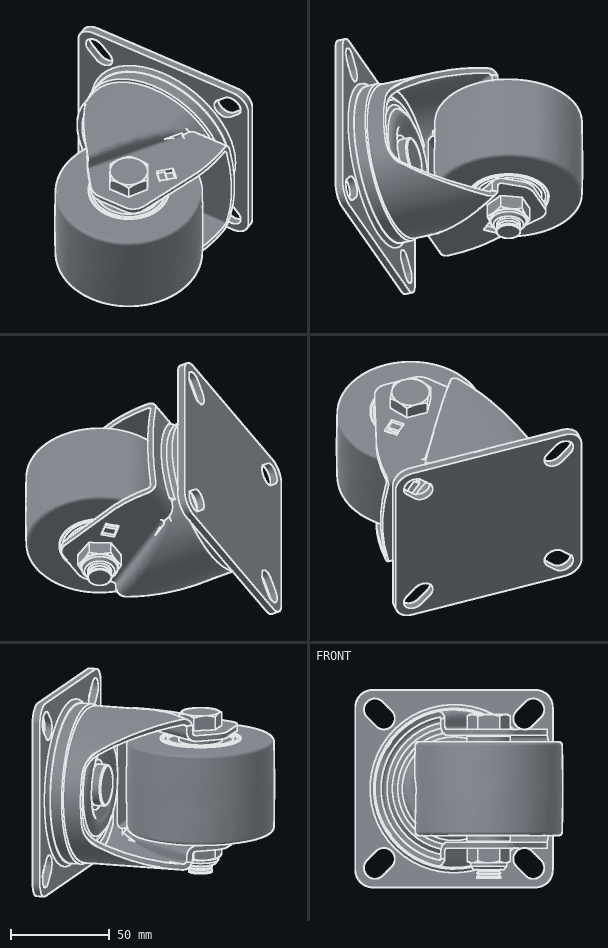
import cadquery as cq
import math


PLATE_SIZE = 100.0
PLATE_THICKNESS = 4.0
PLATE_CORNER_RADIUS = 9.0
SLOT_WIDTH = 11.0
SLOT_CENTER = 37.75
SLOT_SPREAD = 2.25
FLARE_RADIUS = 42.5
FLARE_STEP_RADIUS = 41.5
FLARE_STEP_DEPTH = 4.9
FLARE_NECK_RADIUS = 40.3
RING_RADIUS = 40.65
RING_TOP_DEPTH = 6.4
RING_DEPTH = 12.55
KINGPIN_RADIUS = 6.0
KINGPIN_HEAD_RADIUS = 10.5
KINGPIN_HEAD_DEPTH = 23.4
KINGPIN_CHAMFER = 0.6

WHEEL_OFFSET = 17.5
AXLE_DEPTH = 67.5
WHEEL_RADIUS = 37.5
WHEEL_WIDTH = 47.5
TREAD_CROWN = 0.35
TREAD_FILLET = 2.0
GROOVE_OUTER_RADIUS = 20.5
GROOVE_FLOOR_RADIUS = 20.0
GROOVE_INNER_RADIUS = 18.8
GROOVE_DEPTH = 0.3
RECESS_RADIUS = 16.9
RECESS_DEPTH = 1.0
HUB_RADIUS = 11.0
HUB_CHAMFER = 0.4

SHEET = 3.0
CUP_RADIUS = 39.9
CUP_INNER_RADIUS = CUP_RADIUS - SHEET
CUP_EDGE_RADIUS = 2.4
CUP_FLOOR_DEPTH = RING_DEPTH + SHEET
CUP_FLOOR_FILLET = 2.6
CUP_LIP_DEPTH = 22.3
LIP_END = (-38.5, -CUP_LIP_DEPTH)
LIP_ARC = (LIP_END, (-34.3, -24.3), (-31.4, -28.6))
FRONT_ARC = (LIP_ARC[2], (-18.4, -51.6), (-3.4, -72.3))
EDGE_TRIM_REACH = -3.0
EDGE_TRIM_STEPS = 48
TUBE_MARGIN = 1.0
BEND_FOOT = (-3.6, -72.4)
BEND_TOP = (19.4, -37.4)
BEND_DIRECTION = (cq.Vector(*BEND_TOP) - cq.Vector(*BEND_FOOT)).normalized()
BEND_NORMAL = cq.Vector(BEND_DIRECTION.y, -BEND_DIRECTION.x, 0)
BEND_FILLET_START = -10.0
BEND_FILLET_END = 54.0
BEND_FOOT_RADIUS = 2.0
BEND_RIM_RADIUS = 4.5
LEG_INNER = 27.0
LEG_OUTER = LEG_INNER + SHEET
LEG_BOTTOM_DEPTH = 84.15
LEG_HEEL_X = 5.8
LEG_TOE_X = 31.0
LEG_BACK_BOTTOM = (44.3, -44.0)
LEG_BACK_MIDDLE = (46.3, -34.0)
LEG_HEEL_RADIUS = 9.0
LEG_TOE_RADIUS = 8.0
WEB_DEPTH = 18.2
WEB_BEND_RADIUS = 5.0
WEB_REACH = 50.4
WEB_FLARE = 2.0
LEG_REACH = 47.0
LEG_START = -8.0

BULGE_FOOT_RADIUS = 33.9
BULGE_LEDGE_RADIUS = 31.2
BULGE_WALL_RADIUS = 28.5
BULGE_OUTER_RADIUS = 26.2
BULGE_CREST_RADIUS = 21.8
BULGE_INNER_RADIUS = 17.6
BULGE_LEDGE_DEPTH = 18.2
BULGE_SHOULDER_DEPTH = 19.3
BULGE_CREST_DEPTH = 21.9
BULGE_INNER_DEPTH = 20.3
HEAD_SEAT_RADIUS = 12.8
HEAD_SEAT_DEPTH = 18.0

TAB_CENTER = (31.35, -53.65)
TAB_LENGTH = 8.6
TAB_WIDTH = 6.7
TAB_ANGLE = 45.0
TAB_THICKNESS = SHEET / 2

BOLT_RADIUS = 6.0
HEX_FLATS = 19.0
HEX_CORNERS = HEX_FLATS / math.cos(math.radians(30))
HEX_HEIGHT = 7.5
HEX_CHAMFER_ANGLE = 30.0
BOLT_END = 45.2
THREAD_PITCH = 1.75
THREAD_DEPTH = 1.0
COLLAR_RADIUS = 9.1
COLLAR_END_RADIUS = 7.6
COLLAR_EDGE_OFFSET = 1.6
COLLAR_HEIGHT = 3.4
NUT_END = LEG_OUTER + HEX_HEIGHT + COLLAR_HEIGHT

FAR = 200.0


def revolve_about_swivel(points):
    """Revolve a (radius, depth) outline about the Y axis; depth counts toward -Y."""
    outline = [(radius, -depth) for radius, depth in points]
    return cq.Workplane("XY").polyline(outline).close().revolve(360, (0, 0, 0), (0, 1, 0))


def swivel_cylinder(radius, top_depth, bottom_depth):
    """A cylinder about the Y axis between two depths below the plate back."""
    disc = cq.Workplane("XZ", origin=(0, -top_depth, 0)).circle(radius)
    return disc.extrude(bottom_depth - top_depth)


def axle_cylinder(radius, z_start, z_end):
    base = cq.Workplane("XY", origin=(WHEEL_OFFSET, -AXLE_DEPTH, z_start))
    return base.circle(radius).extrude(z_end - z_start)


def axle_revolve(points):
    """Revolve a (radius, Z) outline about the axle."""
    profile = cq.Workplane("XZ").polyline(points).close()
    return profile.revolve(360, (0, 0, 0), (0, 1, 0)).translate((WHEEL_OFFSET, -AXLE_DEPTH, 0))


def both_sides(body):
    """A body and its mirror copy across the middle plane of the wheel."""
    return (body, body.mirror("XY"))


def make_plate():
    plate = cq.Workplane("XZ").rect(PLATE_SIZE, PLATE_SIZE).extrude(PLATE_THICKNESS)
    plate = plate.edges("|Y").fillet(PLATE_CORNER_RADIUS)
    slot_length = 2 * math.sqrt(2) * SLOT_SPREAD + SLOT_WIDTH
    for x_side in (-1, 1):
        for z_side in (-1, 1):
            slot = (
                cq.Workplane("XZ")
                .center(x_side * SLOT_CENTER, z_side * SLOT_CENTER)
                .transformed(rotate=(0, 0, 45 * x_side * z_side))
                .slot2D(slot_length, SLOT_WIDTH)
                .extrude(PLATE_THICKNESS)
            )
            plate = plate.cut(slot)
    ring = revolve_about_swivel([
        (0, 0),
        (FLARE_RADIUS, 0),
        (FLARE_RADIUS, PLATE_THICKNESS),
        (FLARE_STEP_RADIUS, FLARE_STEP_DEPTH),
        (FLARE_NECK_RADIUS, RING_TOP_DEPTH),
        (RING_RADIUS, RING_TOP_DEPTH),
        (RING_RADIUS, RING_DEPTH),
        (0, RING_DEPTH),
    ])
    shank = swivel_cylinder(KINGPIN_RADIUS, RING_DEPTH, HEAD_SEAT_DEPTH)
    head = swivel_cylinder(KINGPIN_HEAD_RADIUS, HEAD_SEAT_DEPTH, KINGPIN_HEAD_DEPTH)
    head = head.faces("<Y").chamfer(KINGPIN_CHAMFER)
    return plate.union(ring).union(shank).union(head)


def leg_profile():
    """Side outline of the fork below the cup: slanted front edge, round foot, curved back."""
    bottom = -LEG_BOTTOM_DEPTH
    outline = (
        cq.Workplane("XY", origin=(0, 0, -FAR / 2))
        .moveTo(-FAR, 0)
        .lineTo(-FAR, -CUP_LIP_DEPTH)
        .lineTo(*LIP_END)
        .threePointArc(*LIP_ARC[1:])
        .threePointArc(*FRONT_ARC[1:])
        .lineTo(LEG_HEEL_X, bottom)
        .lineTo(LEG_TOE_X, bottom)
        .lineTo(*LEG_BACK_BOTTOM)
        .threePointArc(LEG_BACK_MIDDLE, (LEG_REACH, -CUP_LIP_DEPTH))
        .lineTo(FAR, -CUP_LIP_DEPTH)
        .lineTo(FAR, 0)
        .close()
        .extrude(FAR)
    )
    heel = outline.edges(cq.selectors.NearestToPointSelector((LEG_HEEL_X, bottom, 0)))
    outline = heel.fillet(LEG_HEEL_RADIUS)
    toe = outline.edges(cq.selectors.NearestToPointSelector((LEG_TOE_X, bottom, 0)))
    return toe.fillet(LEG_TOE_RADIUS)


def front_edge_depth(x):
    """Depth of the fork's front edge where the cup wall stands at a given X."""
    if x < LIP_END[0]:
        return CUP_LIP_DEPTH
    start, middle, end = LIP_ARC if x < LIP_ARC[2][0] else FRONT_ARC
    first = (x - middle[0]) * (x - end[0]) / ((start[0] - middle[0]) * (start[0] - end[0]))
    second = (x - start[0]) * (x - end[0]) / ((middle[0] - start[0]) * (middle[0] - end[0]))
    third = (x - start[0]) * (x - middle[0]) / ((end[0] - start[0]) * (end[0] - middle[0]))
    return -(first * start[1] + second * middle[1] + third * end[1])


def cup_side(radius, top_depth, inset):
    """Cup cylinder ended by an upright bend wall, with the bend rounded at its rim."""
    body = swivel_cylinder(radius, top_depth, LEG_BOTTOM_DEPTH)
    foot = cq.Vector(*BEND_FOOT) - BEND_NORMAL * (BEND_FOOT_RADIUS + inset)
    wall = cq.Plane(origin=foot, normal=BEND_NORMAL)
    body = body.cut(cq.Workplane(wall).rect(2 * FAR, 2 * FAR).extrude(FAR))
    rim = body.faces(cq.selectors.DirectionMinMaxSelector(BEND_NORMAL)).edges("not |Z")
    return rim.fillet(BEND_RIM_RADIUS - inset)


def bend_fillet(radius, inset):
    """Concave corner filler where the upright bend wall meets the flat of a leg."""
    foot = cq.Vector(*BEND_FOOT) - BEND_NORMAL * (BEND_FOOT_RADIUS + inset)
    start = foot + BEND_DIRECTION * BEND_FILLET_START + cq.Vector(0, 0, LEG_OUTER - inset)
    section = cq.Plane(origin=start, xDir=BEND_NORMAL, normal=BEND_DIRECTION * -1)
    sag = radius * (1 - math.sqrt(0.5))
    return (
        cq.Workplane(section)
        .lineTo(radius, 0)
        .threePointArc((sag, sag), (0, radius))
        .close()
        .extrude(BEND_FILLET_START - BEND_FILLET_END)
    )


def cup_edge_waste():
    """The part of the cup tube beyond its front edge, cut square to the curved sheet."""
    start_angle = math.acos(EDGE_TRIM_REACH / CUP_RADIUS)
    sweep = 2 * (math.pi - start_angle)
    rails = []
    for radius in (CUP_INNER_RADIUS - 2 * TUBE_MARGIN, CUP_RADIUS + 2 * TUBE_MARGIN):
        points = []
        for step in range(EDGE_TRIM_STEPS + 1):
            angle = start_angle + sweep * step / EDGE_TRIM_STEPS
            depth = front_edge_depth(CUP_RADIUS * math.cos(angle))
            points.append(cq.Vector(radius * math.cos(angle), -depth, radius * math.sin(angle)))
        rails.append(cq.Edge.makeSpline(points))
    edge_face = cq.Face.makeRuledSurface(*rails)
    bore = swivel_cylinder(CUP_INNER_RADIUS - TUBE_MARGIN, CUP_FLOOR_DEPTH, FAR)
    tube = swivel_cylinder(CUP_RADIUS + TUBE_MARGIN, CUP_FLOOR_DEPTH, LEG_BOTTOM_DEPTH).cut(bore)
    front = cq.Workplane("XY").box(FAR, FAR, FAR).translate((BEND_FOOT[0] - FAR / 2, -FAR / 2, 0))
    tube = tube.intersect(front)
    pieces = tube.split(cq.Workplane(edge_face)).solids()
    return pieces.sort(lambda piece: piece.Center().y).first()


def channel(half_width, top_depth, bend_radius):
    """Block spanning the legs, rounded where the web turns into them."""
    length = FAR
    height = LEG_BOTTOM_DEPTH - top_depth
    block = cq.Workplane("XY").box(length, height, 2 * half_width, centered=(False, False, True))
    block = block.translate((LEG_START, -LEG_BOTTOM_DEPTH, 0))
    return block.edges("|X and >Y").fillet(bend_radius)


def web_end():
    """Plan outline that gives the web its bowed rear edge."""
    return (
        cq.Workplane("XZ")
        .moveTo(-FAR, LEG_OUTER)
        .lineTo(LEG_REACH, LEG_OUTER)
        .lineTo(LEG_REACH, LEG_INNER)
        .threePointArc((WEB_REACH, 0), (LEG_REACH, -LEG_INNER))
        .lineTo(LEG_REACH, -LEG_OUTER)
        .lineTo(-FAR, -LEG_OUTER)
        .close()
        .extrude(FAR)
    )


def make_bulge():
    """Pressed ring inside the cup whose middle seats the kingpin head."""
    crest = (BULGE_CREST_RADIUS, -BULGE_CREST_DEPTH)
    return (
        cq.Workplane("XY")
        .moveTo(0, -RING_DEPTH)
        .lineTo(BULGE_FOOT_RADIUS, -RING_DEPTH)
        .lineTo(BULGE_FOOT_RADIUS, -CUP_FLOOR_DEPTH)
        .lineTo(BULGE_LEDGE_RADIUS, -BULGE_LEDGE_DEPTH)
        .lineTo(BULGE_WALL_RADIUS, -BULGE_LEDGE_DEPTH)
        .lineTo(BULGE_OUTER_RADIUS, -BULGE_SHOULDER_DEPTH)
        .threePointArc(crest, (BULGE_INNER_RADIUS, -BULGE_INNER_DEPTH))
        .lineTo(HEAD_SEAT_RADIUS, -HEAD_SEAT_DEPTH)
        .lineTo(0, -HEAD_SEAT_DEPTH)
        .close()
        .revolve(360, (0, 0, 0), (0, 1, 0))
    )


def tab_block(length, z_start, z_end):
    """A block turned to the tab direction, starting at the end of the window nearest the axle."""
    return (
        cq.Workplane("XY", origin=(*TAB_CENTER, z_start))
        .transformed(rotate=(0, 0, TAB_ANGLE))
        .center((length - TAB_LENGTH) / 2, 0)
        .rect(length, TAB_WIDTH)
        .extrude(z_end - z_start)
    )


def make_fork():
    cup_top = swivel_cylinder(CUP_RADIUS, RING_DEPTH, CUP_LIP_DEPTH)
    cup_top = cup_top.faces(">Y").edges().fillet(CUP_EDGE_RADIUS)
    outer_side = cup_side(CUP_RADIUS, CUP_FLOOR_DEPTH, 0)
    outer_channel = channel(LEG_OUTER, WEB_DEPTH, WEB_BEND_RADIUS).intersect(web_end())
    flare = revolve_about_swivel([
        (0, WEB_DEPTH - WEB_FLARE),
        (CUP_RADIUS, WEB_DEPTH - WEB_FLARE),
        (CUP_RADIUS + WEB_FLARE, WEB_DEPTH),
        (0, WEB_DEPTH),
    ])
    flare = flare.intersect(cq.Workplane("XY").box(FAR, FAR, 2 * (LEG_OUTER - WEB_BEND_RADIUS)))
    flare = flare.intersect(cq.Workplane("XY").box(FAR, FAR, FAR, centered=(False, True, True)))
    outside = outer_side.union(outer_channel)
    foot_fillet = bend_fillet(BEND_FOOT_RADIUS, 0).intersect(swivel_cylinder(CUP_RADIUS, 0, LEG_BOTTOM_DEPTH))
    for fillet in both_sides(foot_fillet):
        outside = outside.union(fillet)
    outside = outside.union(cup_top).union(flare).intersect(leg_profile()).cut(cup_edge_waste())

    inner_side = cup_side(CUP_INNER_RADIUS, WEB_DEPTH, SHEET)
    cup_floor = swivel_cylinder(CUP_INNER_RADIUS, CUP_FLOOR_DEPTH, WEB_DEPTH)
    cup_floor = cup_floor.faces(">Y").edges().fillet(CUP_FLOOR_FILLET)
    inner_channel = channel(LEG_INNER, WEB_DEPTH + SHEET, WEB_BEND_RADIUS - SHEET)
    inside = inner_side.union(inner_channel)
    for fillet in both_sides(bend_fillet(BEND_FOOT_RADIUS + SHEET, SHEET)):
        inside = inside.union(fillet)
    fork = outside.cut(inside).cut(cup_floor).union(make_bulge())

    fork = fork.cut(swivel_cylinder(KINGPIN_RADIUS, 0, HEAD_SEAT_DEPTH))
    fork = fork.cut(axle_cylinder(BOLT_RADIUS, -LEG_OUTER, LEG_OUTER))
    window = tab_block(TAB_LENGTH, LEG_INNER, LEG_OUTER)
    tab = tab_block(TAB_LENGTH / 2, LEG_INNER, LEG_INNER + TAB_THICKNESS)
    for opening in both_sides(window):
        fork = fork.cut(opening)
    for half_tab in both_sides(tab):
        fork = fork.union(half_tab)
    return fork


def make_wheel():
    half = WHEEL_WIDTH / 2
    edge_radius = WHEEL_RADIUS - TREAD_CROWN
    wheel = (
        cq.Workplane("XZ")
        .moveTo(0, -half)
        .lineTo(edge_radius, -half)
        .threePointArc((WHEEL_RADIUS, 0), (edge_radius, half))
        .lineTo(0, half)
        .close()
        .revolve(360, (0, 0, 0), (0, 1, 0))
        .faces("<Z or >Z")
        .edges()
        .fillet(TREAD_FILLET)
        .translate((WHEEL_OFFSET, -AXLE_DEPTH, 0))
    )
    groove_floor = half - GROOVE_DEPTH
    groove = axle_revolve([
        (GROOVE_INNER_RADIUS, half),
        (GROOVE_INNER_RADIUS, groove_floor),
        (GROOVE_FLOOR_RADIUS, groove_floor),
        (GROOVE_OUTER_RADIUS, half),
    ])
    recess = axle_cylinder(RECESS_RADIUS, half - RECESS_DEPTH, half)
    for hollow in (*both_sides(groove), *both_sides(recess)):
        wheel = wheel.cut(hollow)
    hub = axle_cylinder(HUB_RADIUS, -LEG_INNER, LEG_INNER).faces("<Z or >Z").chamfer(HUB_CHAMFER)
    return wheel.union(hub).cut(axle_cylinder(BOLT_RADIUS, -LEG_INNER, LEG_INNER))


def hexagon():
    """Hexagon on the +Z leg, with the corners turned off its outer end."""
    top = LEG_OUTER + HEX_HEIGHT
    corner = HEX_CORNERS / 2
    flat = HEX_FLATS / 2
    drop = (corner - flat) * math.tan(math.radians(HEX_CHAMFER_ANGLE))
    base = cq.Workplane("XY", origin=(WHEEL_OFFSET, -AXLE_DEPTH, LEG_OUTER))
    prism = base.polygon(6, HEX_CORNERS).extrude(HEX_HEIGHT)
    turned = axle_revolve([
        (0, LEG_OUTER),
        (corner, LEG_OUTER),
        (corner, top - drop),
        (flat, top),
        (0, top),
    ])
    return prism.intersect(turned)


def make_bolt():
    bolt = hexagon().union(axle_cylinder(BOLT_RADIUS, -BOLT_END, LEG_OUTER))
    turns = int((BOLT_END - NUT_END) / THREAD_PITCH)
    for turn in range(turns):
        middle = -NUT_END - (turn + 0.5) * THREAD_PITCH
        groove = axle_revolve([
            (BOLT_RADIUS - THREAD_DEPTH, middle),
            (BOLT_RADIUS, middle - THREAD_PITCH / 2),
            (BOLT_RADIUS, middle + THREAD_PITCH / 2),
        ])
        bolt = bolt.cut(groove)
    return bolt


def make_nut():
    collar_start = -LEG_OUTER - HEX_HEIGHT
    collar = axle_revolve([
        (0, collar_start),
        (COLLAR_RADIUS, collar_start),
        (COLLAR_RADIUS, collar_start - COLLAR_EDGE_OFFSET),
        (COLLAR_END_RADIUS, -NUT_END),
        (0, -NUT_END),
    ])
    nut = hexagon().mirror("XY").union(collar)
    return nut.cut(axle_cylinder(BOLT_RADIUS, -NUT_END, -LEG_OUTER))


plate = make_plate()
fork = make_fork()
wheel = make_wheel()
bolt = make_bolt()
nut = make_nut()

result = cq.Compound.makeCompound([
    plate.solids().val(),
    fork.solids().val(),
    wheel.solids().val(),
    bolt.solids().val(),
    nut.solids().val(),
])